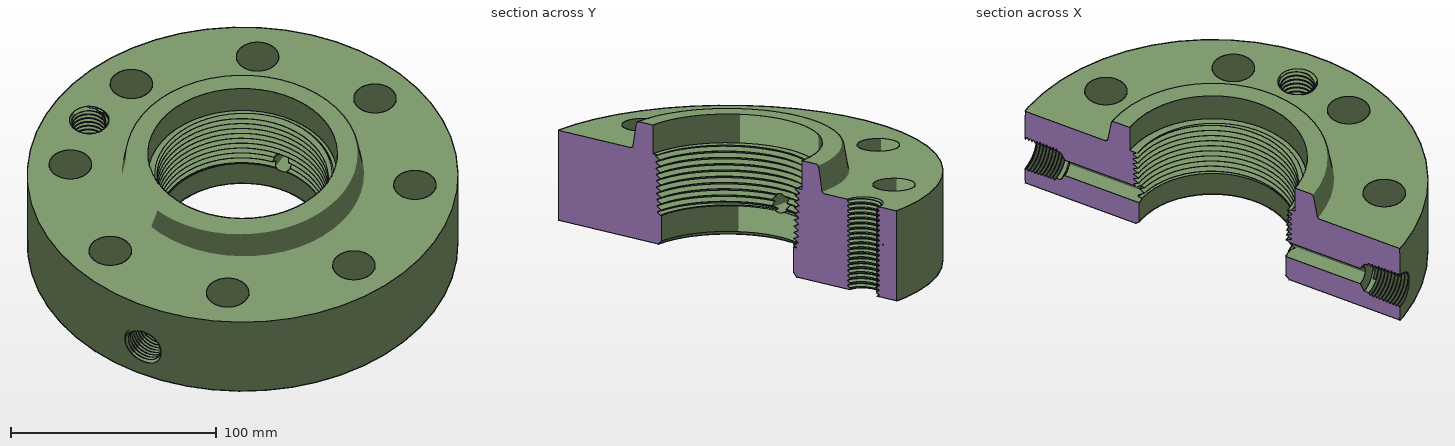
import cadquery as cq
import math

INCH = 25.4

FLANGE_RADIUS = 8.25 * INCH / 2
FLANGE_THICKNESS = 46.1
TOTAL_HEIGHT = 60.27

HUB_BASE_RADIUS = 58.9
HUB_DRAFT_ANGLE = 10.0
HUB_TOP_FILLET = 2.0
HUB_ROOT_FILLET = 1.4

COUNTERBORE_RADIUS = 46.1
COUNTERBORE_FLOOR_Z = 45.6
THREAD_END_Z = 15.1
BORE_MINOR_RADIUS = 41.8
BORE_BOTTOM_CHAMFER = 2.0
BORE_PITCH = INCH / 8
BORE_CREST_FLAT = 0.1
BORE_ROOT_AZIMUTH = 90.0

BOLT_HOLE_COUNT = 8
BOLT_CIRCLE_RADIUS = 6.62 * INCH / 2
BOLT_HOLE_RADIUS = 20.64 / 2
FIRST_BOLT_AZIMUTH = 180.0 / BOLT_HOLE_COUNT

JACK_MINOR_RADIUS = 8.2
JACK_PITCH = INCH / 10
JACK_CREST_FLAT = JACK_PITCH / 4
JACK_ROOT_AZIMUTH = 120.0
JACK_MOUTH_RADIUS = 9.6
COUNTERSINK_WALL_ANGLE = 45.0

PORT_Z = 0.75 * INCH
PORT_MINOR_RADIUS = 9.1
PORT_PITCH = INCH / 14
PORT_CREST_FLAT = 0.1
PORT_DEPTH = 20.0
PORT_DRILL_RADIUS = 4.75
PORT_POINT_ANGLE = 118.0
PORT_ROOT_AZIMUTH = 60.0
PORT_AZIMUTHS = (-90.0, 90.0)

FLANK_HALF_ANGLE = 30.0
PIPE_TAPER = 1 / 32
PIPE_TAPER_ANGLE = math.degrees(math.atan(PIPE_TAPER))
STRAIGHT_HELIX_ANGLE = 360.0
GROOVE_OVERREACH = 0.05


def thread_groove(crest_radius, pitch, crest_flat, height, taper_angle):
    """Helical V groove around +Z, its root starting at Z = 0 above +X.

    crest_radius is measured at Z = 0 and grows with Z by taper_angle.
    The open side of the V reaches slightly inside the crests.
    """
    flank_slope = math.tan(math.radians(FLANK_HALF_ANGLE))
    root_radius = crest_radius + (pitch - crest_flat) / 2 / flank_slope
    open_radius = crest_radius - GROOVE_OVERREACH
    open_half_width = (root_radius - open_radius) * flank_slope
    helix = cq.Wire.makeHelix(pitch, height, crest_radius, angle=taper_angle)
    profile = cq.Workplane("XZ").polyline(
        [(open_radius, -open_half_width), (root_radius, 0), (open_radius, open_half_width)]
    )
    return profile.close().sweep(cq.Workplane(obj=helix), isFrenet=True)


def mouth_aligned(groove, start_z, pitch, mouth_z, root_azimuth):
    """Raise a groove to start_z and turn it so its root meets mouth_z at root_azimuth."""
    turn_at_mouth = 360 * (mouth_z - start_z) / pitch
    turned = groove.rotate((0, 0, 0), (0, 0, 1), root_azimuth - turn_at_mouth)
    return turned.translate((0, 0, start_z))


def flange_body():
    """Disc with the tapered hub on top, hub edges rounded."""
    hub_height = TOTAL_HEIGHT - FLANGE_THICKNESS
    hub = cq.Workplane("XY").workplane(offset=FLANGE_THICKNESS)
    hub = hub.circle(HUB_BASE_RADIUS).extrude(hub_height, taper=HUB_DRAFT_ANGLE)
    body = cq.Workplane("XY").circle(FLANGE_RADIUS).extrude(FLANGE_THICKNESS).union(hub)
    body = body.faces(">Z").edges().fillet(HUB_TOP_FILLET)
    hub_root = cq.selectors.RadiusNthSelector(0)
    return body.faces("<Z[-2]").edges(hub_root).fillet(HUB_ROOT_FILLET)


def bore_cutter():
    """Chamfered lower bore, tapered minor cone and counterbore as one solid of revolution."""
    thread_length = COUNTERBORE_FLOOR_Z - THREAD_END_Z
    lower_radius = BORE_MINOR_RADIUS - thread_length * PIPE_TAPER
    profile = cq.Workplane("XZ").polyline(
        [
            (0, 0),
            (lower_radius + BORE_BOTTOM_CHAMFER, 0),
            (lower_radius, BORE_BOTTOM_CHAMFER),
            (lower_radius, THREAD_END_Z),
            (BORE_MINOR_RADIUS, COUNTERBORE_FLOOR_Z),
            (COUNTERBORE_RADIUS, COUNTERBORE_FLOOR_Z),
            (COUNTERBORE_RADIUS, TOTAL_HEIGHT),
            (0, TOTAL_HEIGHT),
        ]
    )
    return profile.close().revolve(360, (0, 0, 0), (0, 1, 0))


def bore_groove():
    """Taper thread of the bore, running out through the counterbore floor."""
    start_z = THREAD_END_Z - BORE_PITCH / 2
    height = COUNTERBORE_FLOOR_Z + BORE_PITCH - start_z
    crest_radius = BORE_MINOR_RADIUS - (COUNTERBORE_FLOOR_Z - start_z) * PIPE_TAPER
    groove = thread_groove(crest_radius, BORE_PITCH, BORE_CREST_FLAT, height, PIPE_TAPER_ANGLE)
    groove = mouth_aligned(groove, start_z, BORE_PITCH, COUNTERBORE_FLOOR_Z, BORE_ROOT_AZIMUTH)
    below_thread = cq.Workplane("XY").circle(COUNTERBORE_RADIUS).extrude(THREAD_END_Z)
    return groove.cut(below_thread)


def bolt_holes():
    """Ring of plain through holes."""
    ring = cq.Workplane("XY").polarArray(BOLT_CIRCLE_RADIUS, FIRST_BOLT_AZIMUTH, 360, BOLT_HOLE_COUNT)
    return ring.circle(BOLT_HOLE_RADIUS).extrude(FLANGE_THICKNESS)


def jack_hole():
    """Minor-diameter hole of the jack screw."""
    centre = cq.Workplane("XY").center(-BOLT_CIRCLE_RADIUS, 0)
    return centre.circle(JACK_MINOR_RADIUS).extrude(FLANGE_THICKNESS)


def jack_countersink():
    """Conical lead-in at the top mouth of the jack-screw hole."""
    depth = JACK_MOUTH_RADIUS - JACK_MINOR_RADIUS
    mouth = cq.Workplane("XY").workplane(offset=FLANGE_THICKNESS).center(-BOLT_CIRCLE_RADIUS, 0)
    return mouth.circle(JACK_MOUTH_RADIUS).extrude(-depth, taper=COUNTERSINK_WALL_ANGLE)


def jack_groove():
    """Parallel thread of the jack screw, running out past both faces of the disc."""
    height = FLANGE_THICKNESS + 2 * JACK_PITCH
    groove = thread_groove(JACK_MINOR_RADIUS, JACK_PITCH, JACK_CREST_FLAT, height, STRAIGHT_HELIX_ANGLE)
    groove = mouth_aligned(groove, -JACK_PITCH, JACK_PITCH, FLANGE_THICKNESS, JACK_ROOT_AZIMUTH)
    return groove.translate((-BOLT_CIRCLE_RADIUS, 0, 0))


def placed_port(cutter, azimuth):
    """Move a cutter whose axis is +Z and whose mouth is at FLANGE_RADIUS to a rim azimuth."""
    pointed_outward = cutter.rotate((0, 0, 0), (0, 1, 0), 90)
    return pointed_outward.rotate((0, 0, 0), (0, 0, 1), azimuth).translate((0, 0, PORT_Z))


def port_hole():
    """Tapered port, its drill-point cone and the narrow drilling, along +Z from the flange axis."""
    port_end = FLANGE_RADIUS - PORT_DEPTH
    end_radius = PORT_MINOR_RADIUS - PORT_DEPTH * PIPE_TAPER
    point_length = (end_radius - PORT_DRILL_RADIUS) / math.tan(math.radians(PORT_POINT_ANGLE / 2))
    profile = cq.Workplane("XZ").polyline(
        [
            (0, 0),
            (PORT_DRILL_RADIUS, 0),
            (PORT_DRILL_RADIUS, port_end - point_length),
            (end_radius, port_end),
            (PORT_MINOR_RADIUS, FLANGE_RADIUS),
            (0, FLANGE_RADIUS),
        ]
    )
    return profile.close().revolve(360, (0, 0, 0), (0, 1, 0))


def port_groove():
    """Taper thread of a port, along +Z, running out past the rim."""
    start_z = FLANGE_RADIUS - PORT_DEPTH + PORT_PITCH
    height = FLANGE_RADIUS + PORT_PITCH - start_z
    crest_radius = PORT_MINOR_RADIUS - (FLANGE_RADIUS - start_z) * PIPE_TAPER
    groove = thread_groove(crest_radius, PORT_PITCH, PORT_CREST_FLAT, height, PIPE_TAPER_ANGLE)
    return mouth_aligned(groove, start_z, PORT_PITCH, FLANGE_RADIUS, PORT_ROOT_AZIMUTH)


def build_part():
    """Cut every bore, hole and thread from the flange body."""
    part = flange_body().cut(bore_cutter()).cut(bolt_holes()).cut(jack_hole())
    part = part.cut(bore_groove()).cut(jack_groove()).cut(jack_countersink())
    for azimuth in PORT_AZIMUTHS:
        part = part.cut(placed_port(port_hole(), azimuth))
        part = part.cut(placed_port(port_groove(), azimuth))
    return part


result = build_part()